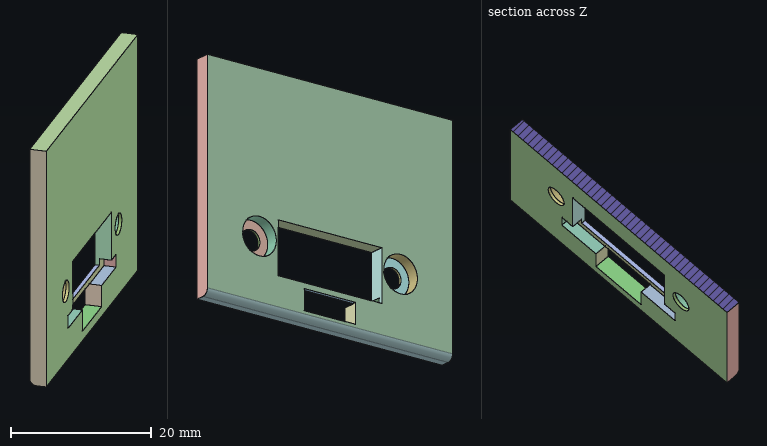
import cadquery as cq

thickness = 2.5
width = 43.75
height = 36.5
bottom_edge_radius = 1.0

window_width = 18.45
window_height = 8.45
window_bottom = 5.78
slot_width = 9.1
slot_height = 3.32
slot_bottom = 1.55

front_lip = 0.7
pocket_side_reach = 2.2
pocket_width = window_width + 2 * pocket_side_reach
pocket_bottom = 4.8
pocket_height = 1.95

hole_spacing = 25.15
hole_height = 11.0
hole_diameter = 3.2
counterbore_diameter = 6.0
counterbore_depth = 2.0


def opening(opening_width, opening_height, bottom, start=0):
    """Rectangular cutter from depth start behind the front face out to the back face."""
    return cq.Workplane("XY").box(
        thickness - start, opening_width, opening_height, centered=(False, True, False)
    ).translate((start, 0, bottom))


def screw_hole(y):
    """Through hole with a flat counterbore sunk from the front face."""
    face = cq.Workplane("YZ").center(y, hole_height)
    through = face.circle(hole_diameter / 2).extrude(thickness)
    counterbore = face.circle(counterbore_diameter / 2).extrude(counterbore_depth)
    return through.union(counterbore)


plate = cq.Workplane("XY").box(thickness, width, height, centered=(False, True, False))
plate = plate.edges("<X and <Z").fillet(bottom_edge_radius)

plate = plate.cut(opening(window_width, window_height, window_bottom))
plate = plate.cut(opening(slot_width, slot_height, slot_bottom))
plate = plate.cut(opening(pocket_width, pocket_height, pocket_bottom, start=front_lip))

for side in (-1, 1):
    plate = plate.cut(screw_hole(side * hole_spacing / 2))

result = plate